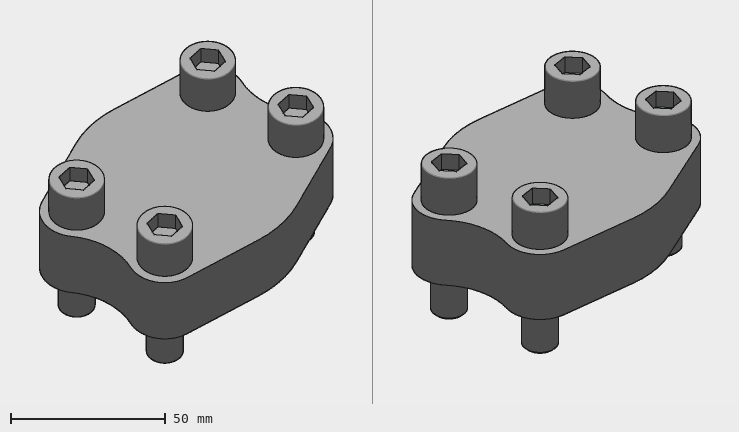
import cadquery as cq
import math

plate_length = 94.0
plate_width = 77.0
plate_thickness = 25.0
waist_radius = 25.0

bolt_spacing_x = 35.7
bolt_spacing_y = 69.9
head_diameter = 18.0
head_height = 14.4
head_edge_fillet = 0.6
socket_across_flats = 10.0
socket_depth = 6.0
shank_diameter = 12.0
shank_projection = 17.6
shank_chamfer = 1.0

seal_outer_diameter = 54.3
seal_inner_diameter = 47.2
seal_projection = 0.2

bolt_x = bolt_spacing_x / 2
bolt_y = bolt_spacing_y / 2
side_radius = plate_width / 2
corner_radius = plate_length / 2 - bolt_y


def make_plate():
    bolt_angle = math.atan2(bolt_y, bolt_x)
    flank_angle = bolt_angle - math.acos((side_radius - corner_radius) / math.hypot(bolt_x, bolt_y))
    normal_x = math.cos(flank_angle)
    normal_y = math.sin(flank_angle)
    side_x = side_radius * normal_x
    side_y = side_radius * normal_y
    flank_x = bolt_x + corner_radius * normal_x
    flank_y = bolt_y + corner_radius * normal_y

    center_distance = waist_radius + corner_radius
    waist_center_y = bolt_y + math.sqrt(center_distance**2 - bolt_x**2)
    waist_bottom_y = waist_center_y - waist_radius
    blend_fraction = corner_radius / center_distance
    waist_x = bolt_x * (1 - blend_fraction)
    waist_y = bolt_y + (waist_center_y - bolt_y) * blend_fraction
    corner_y = bolt_y + corner_radius

    outline = (
        cq.Workplane("XY")
        .moveTo(side_x, -side_y)
        .threePointArc((side_radius, 0), (side_x, side_y))
        .lineTo(flank_x, flank_y)
        .threePointArc((bolt_x, corner_y), (waist_x, waist_y))
        .threePointArc((0, waist_bottom_y), (-waist_x, waist_y))
        .threePointArc((-bolt_x, corner_y), (-flank_x, flank_y))
        .lineTo(-side_x, side_y)
        .threePointArc((-side_radius, 0), (-side_x, -side_y))
        .lineTo(-flank_x, -flank_y)
        .threePointArc((-bolt_x, -corner_y), (-waist_x, -waist_y))
        .threePointArc((0, -waist_bottom_y), (waist_x, -waist_y))
        .threePointArc((bolt_x, -corner_y), (flank_x, -flank_y))
        .close()
    )
    return outline.extrude(plate_thickness)


def make_screw():
    head = (
        cq.Workplane("XY")
        .workplane(offset=plate_thickness)
        .circle(head_diameter / 2)
        .extrude(head_height)
        .faces(">Z").edges().fillet(head_edge_fillet)
    )
    socket = (
        cq.Workplane("XY")
        .workplane(offset=plate_thickness + head_height - socket_depth)
        .polygon(6, socket_across_flats, circumscribed=True)
        .extrude(socket_depth)
    )
    shank = (
        cq.Workplane("XY")
        .workplane(offset=-shank_projection)
        .circle(shank_diameter / 2)
        .extrude(shank_projection + plate_thickness)
        .faces("<Z").chamfer(shank_chamfer)
    )
    return head.cut(socket).union(shank)


def make_seal():
    section_radius = (seal_outer_diameter - seal_inner_diameter) / 4
    ring_radius = (seal_outer_diameter + seal_inner_diameter) / 4
    center_height = section_radius - seal_projection
    return cq.Workplane("XY").add(
        cq.Solid.makeTorus(ring_radius, section_radius, cq.Vector(0, 0, center_height))
    )


result = make_plate().union(make_seal())
screw = make_screw()
for x in (-bolt_x, bolt_x):
    for y in (-bolt_y, bolt_y):
        result = result.union(screw.translate((x, y, 0)))